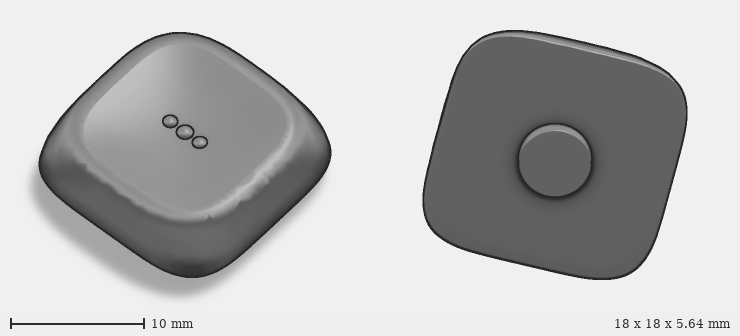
import cadquery as cq
import math

cap_half_width = 9.11
cap_height = 4.33
base_exponent = 4.4
rim_exponent = 3.7
wall_levels = [
    (0.0, cap_half_width, base_exponent),
    (1.11, 8.95, 4.2),
    (2.08, 8.73, 3.7),
    (3.05, 8.34, 3.3),
    (3.9, 7.83, 3.1),
    (4.22, 7.35, 3.2),
    (cap_height, 6.49, rim_exponent),
]
base_fillet = 0.22
outline_points = 32

dish_half_width = 6.49
dish_depth = 0.75
dish_floor = cap_height - dish_depth
dish_fractions = [0.06, 0.35, 0.7, 1.0, 1.1]
center_exponent = 2.0

dot_spacing = 1.5
center_dot_radius = 0.65
center_dot_height = 0.32
side_dot_radius = 0.55
side_dot_height = 0.27

stem_diameter = 5.5
stem_length = 1.3
stem_fillet = 0.18


def rounded_square(height, half_width, exponent):
    """Closed superellipse wire at the given height."""
    points = []
    for index in range(outline_points):
        angle = 2 * math.pi * index / outline_points
        x = math.cos(angle)
        y = math.sin(angle)
        radius = half_width / (abs(x) ** exponent + abs(y) ** exponent) ** (1 / exponent)
        points.append(cq.Vector(radius * x, radius * y, height))
    return cq.Wire.assembleEdges([cq.Edge.makeSpline(points, periodic=True)])


def loft_levels(levels):
    wires = [rounded_square(*level) for level in levels]
    return cq.Workplane(cq.Solid.makeLoft(wires))


def dish_height(fraction):
    """Parabolic height of the dish surface."""
    return dish_floor + dish_depth * fraction ** 2


def make_dish():
    levels = []
    for fraction in dish_fractions:
        exponent = center_exponent + (rim_exponent - center_exponent) * fraction
        levels.append((dish_height(fraction), dish_half_width * fraction, exponent))
    return loft_levels(levels)


def make_dot(x, radius, height):
    """Part of a sphere that rises from the dish as a shallow dome."""
    sphere_radius = (radius ** 2 + height ** 2) / (2 * height)
    apex = dish_height(abs(x) / dish_half_width) + height
    return cq.Workplane().sphere(sphere_radius).translate((x, 0, apex - sphere_radius))


def make_stem():
    stem = cq.Workplane().circle(stem_diameter / 2).extrude(-stem_length)
    return stem.faces("<Z").edges().fillet(stem_fillet)


cap = loft_levels(wall_levels).faces("<Z").edges().fillet(base_fillet)
result = cap.cut(make_dish()).union(make_stem())
result = result.union(make_dot(0, center_dot_radius, center_dot_height))
for side in (-1, 1):
    result = result.union(make_dot(side * dot_spacing, side_dot_radius, side_dot_height))